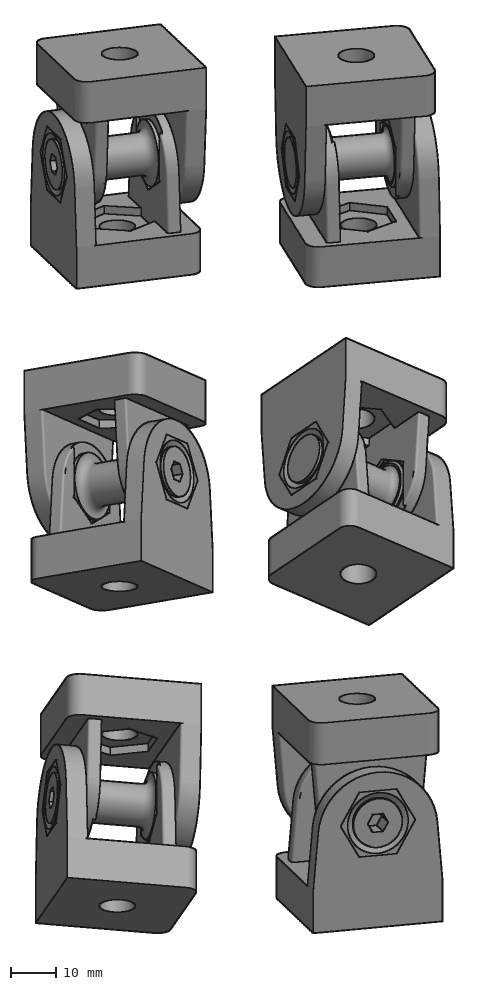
import cadquery as cq
import math

HEIGHT = 48.4
WIDTH = 30.0
DEPTH = 30.55
AXIS_Z = HEIGHT / 2
OUTER_Y = DEPTH / 2

PLATE_THICKNESS = 9.7
PLATE_DEPTH = 30.0
PLATE_CORNER_RADIUS = 3.0
PLATE_Y = (PLATE_DEPTH - DEPTH) / 2
BOLT_HOLE_DIAMETER = 8.0
BOLT_POCKET_FLATS = 15.0
BOLT_POCKET_DEPTH = 1.9

THICK_LUG_THICKNESS = 4.75
THIN_LUG_OUTER_Y = 10.05
THIN_LUG_INNER_Y = 6.9
THIN_LUG_WIDTH = 26.25
LUG_CROWN_Z = 22.1
LUG_TAPER = math.radians(5.0)
LUG_EDGE_RADIUS = 0.5
LUG_ROOT = 2.4

NUT_FLATS = 15.0
JOURNAL_RADIUS = 5.65
COUNTERSINK_RADIUS = 7.0
COUNTERSINK_DEPTH = 0.75
FLANGE_RADIUS = NUT_FLATS / 2
FLANGE_BACK_Y = 7.65
PIN_FLANGE_Y = 6.75
CAP_FLANGE_Y = -THIN_LUG_INNER_Y
SHAFT_RADIUS = 4.8
PIN_FLANGE_FILLET = 2.0
CAP_END_FILLET = 1.5
CAP_BEVEL_LENGTH = 0.4
CAP_BEVEL_RADIUS = 6.8
SOCKET_FLATS = 4.1
SOCKET_DEPTH = 4.85

HEX_CORNER_RATIO = 2 / math.sqrt(3)


def xz_plane(y):
    """Workplane at the given Y, centred on the hinge axis; extrudes towards +Y."""
    return cq.Workplane(cq.Plane(origin=(0, y, AXIS_Z), xDir=(-1, 0, 0), normal=(0, 1, 0)))


def hex_prism(flats, start_y, end_y):
    """Hexagonal prism along the hinge axis with corners towards +X and -X."""
    return xz_plane(start_y).polygon(6, flats * HEX_CORNER_RATIO).extrude(end_y - start_y)


def cylinder(radius, start_y, end_y):
    """Cylinder along the hinge axis."""
    return xz_plane(start_y).circle(radius).extrude(end_y - start_y)


def revolve_about_hinge(profile):
    """Turn a closed profile, drawn as (radius, y), around the hinge axis."""
    return profile.close().revolve(360, (0, 0), (0, 1)).translate((0, 0, AXIS_Z))


def lug(width, start_y, end_y, rounded_faces):
    """Tapered lug with a round top, its face edges rounded on the chosen faces."""
    base_x = width / 2
    base_z = PLATE_THICKNESS
    crown_radius = base_x * math.cos(LUG_TAPER) - (LUG_CROWN_Z - base_z) * math.sin(LUG_TAPER)
    tangent_x = crown_radius * math.cos(LUG_TAPER)
    tangent_z = LUG_CROWN_Z + crown_radius * math.sin(LUG_TAPER)
    root_z = base_z - LUG_ROOT
    outline = (
        cq.Workplane(cq.Plane(origin=(0, end_y, 0), xDir=(1, 0, 0), normal=(0, -1, 0)))
        .moveTo(-base_x, root_z)
        .lineTo(base_x, root_z)
        .lineTo(base_x, base_z)
        .lineTo(tangent_x, tangent_z)
        .threePointArc((0, LUG_CROWN_Z + crown_radius), (-tangent_x, tangent_z))
        .lineTo(-base_x, base_z)
        .close()
    )
    body = outline.extrude(end_y - start_y)
    return body.faces(rounded_faces).edges().fillet(LUG_EDGE_RADIUS)


def bracket_plate():
    """Mounting plate with two round corners."""
    return (
        cq.Workplane("XY")
        .center(0, PLATE_Y)
        .rect(WIDTH, PLATE_DEPTH)
        .extrude(PLATE_THICKNESS)
        .edges("|Z and >Y")
        .fillet(PLATE_CORNER_RADIUS)
    )


def bolt_pocket():
    """Through hole with a hexagonal pocket on the lug side of the plate."""
    hole = cq.Workplane("XY").center(0, PLATE_Y).circle(BOLT_HOLE_DIAMETER / 2).extrude(PLATE_THICKNESS)
    pocket = (
        cq.Workplane("XY", origin=(0, PLATE_Y, PLATE_THICKNESS - BOLT_POCKET_DEPTH))
        .polygon(6, BOLT_POCKET_FLATS * HEX_CORNER_RATIO)
        .extrude(BOLT_POCKET_DEPTH)
    )
    return hole.union(pocket)


def flange_recess():
    """Recess in the thin lug: half a hexagon, corner down, open at the top."""
    half = NUT_FLATS / 2
    corner = half * HEX_CORNER_RATIO
    recess_top = THIN_LUG_WIDTH / 2
    return (
        xz_plane(THIN_LUG_INNER_Y)
        .moveTo(-half, recess_top)
        .lineTo(-half, -corner / 2)
        .lineTo(0, -corner)
        .lineTo(half, -corner / 2)
        .lineTo(half, recess_top)
        .close()
        .extrude(FLANGE_BACK_Y - THIN_LUG_INNER_Y)
    )


def make_bracket():
    """Lower bracket."""
    thick_inner_y = THICK_LUG_THICKNESS - OUTER_Y
    thick_lug = lug(WIDTH, -OUTER_Y, thick_inner_y, ">Y")
    thin_lug = lug(THIN_LUG_WIDTH, THIN_LUG_INNER_Y, THIN_LUG_OUTER_Y, "|Y")
    body = bracket_plate().cut(bolt_pocket())
    body = body.union(thick_lug).union(thin_lug)
    body = body.cut(flange_recess())
    body = body.cut(cylinder(JOURNAL_RADIUS, FLANGE_BACK_Y, THIN_LUG_OUTER_Y))
    return body.cut(hex_prism(NUT_FLATS, -OUTER_Y, thick_inner_y))


def make_nut():
    """Hexagonal nut filling the thick lug of the lower bracket."""
    inner_y = THICK_LUG_THICKNESS - OUTER_Y
    body = hex_prism(NUT_FLATS, -OUTER_Y, inner_y)
    bore = cylinder(JOURNAL_RADIUS, -OUTER_Y, inner_y)
    countersink = revolve_about_hinge(
        cq.Workplane("XY")
        .moveTo(0, -OUTER_Y)
        .lineTo(COUNTERSINK_RADIUS, -OUTER_Y)
        .lineTo(JOURNAL_RADIUS, COUNTERSINK_DEPTH - OUTER_Y)
        .lineTo(0, COUNTERSINK_DEPTH - OUTER_Y)
    )
    return body.cut(bore).cut(countersink)


def make_pin():
    """Shaft with a fillet at each end, and the flange and journal at +Y."""
    pin_fillet_y = PIN_FLANGE_Y - PIN_FLANGE_FILLET
    cap_fillet_y = CAP_FLANGE_Y + CAP_END_FILLET
    return revolve_about_hinge(
        cq.Workplane("XY")
        .moveTo(0, CAP_FLANGE_Y)
        .lineTo(SHAFT_RADIUS + CAP_END_FILLET, CAP_FLANGE_Y)
        .radiusArc((SHAFT_RADIUS, cap_fillet_y), CAP_END_FILLET)
        .lineTo(SHAFT_RADIUS, pin_fillet_y)
        .radiusArc((SHAFT_RADIUS + PIN_FLANGE_FILLET, PIN_FLANGE_Y), PIN_FLANGE_FILLET)
        .lineTo(FLANGE_RADIUS, PIN_FLANGE_Y)
        .lineTo(FLANGE_RADIUS, FLANGE_BACK_Y)
        .lineTo(JOURNAL_RADIUS, FLANGE_BACK_Y)
        .lineTo(JOURNAL_RADIUS, OUTER_Y)
        .lineTo(0, OUTER_Y)
    )


def make_pin_cap():
    """Journal at -Y with a bevelled flange against the shaft and a hexagon socket."""
    body = revolve_about_hinge(
        cq.Workplane("XY")
        .moveTo(0, -OUTER_Y)
        .lineTo(JOURNAL_RADIUS, -OUTER_Y)
        .lineTo(JOURNAL_RADIUS, -FLANGE_BACK_Y)
        .lineTo(FLANGE_RADIUS, -FLANGE_BACK_Y)
        .lineTo(FLANGE_RADIUS, CAP_FLANGE_Y - CAP_BEVEL_LENGTH)
        .lineTo(CAP_BEVEL_RADIUS, CAP_FLANGE_Y)
        .lineTo(0, CAP_FLANGE_Y)
    )
    return body.cut(hex_prism(SOCKET_FLATS, -OUTER_Y, SOCKET_DEPTH - OUTER_Y))


def place_pair(body):
    """The body for the lower bracket and its copy, half a turn about X, for the upper one."""
    axis_start = (0, 0, AXIS_Z)
    axis_end = (1, 0, AXIS_Z)
    return [body.rotate(axis_start, axis_end, angle).solids().val() for angle in (0, 180)]


brackets = place_pair(make_bracket())
nuts = place_pair(make_nut())
pin = make_pin()
pin_cap = make_pin_cap()

result = cq.Compound.makeCompound([*brackets, *nuts, pin.val(), pin_cap.val()])